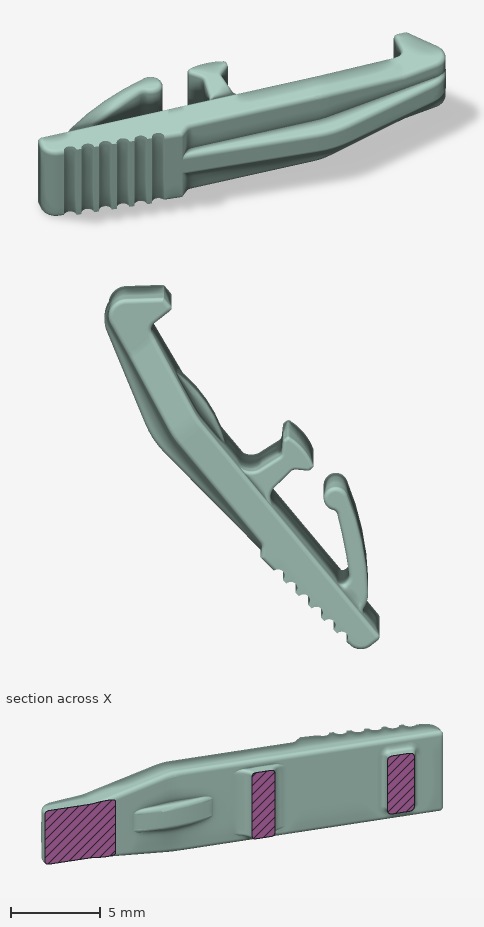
import math

import cadquery as cq

overall_length = 24.09
lever_width = 4.85
plate_thickness = 1.8
edge_radius = 0.25

bend_y = 16.17
arm_lean = math.tan(math.radians(10.4))
bend_radius = 4.9
neck_width = 3.28
neck_y = 21.25
width_bend_radius = 6.0
neck_bend_radius = 2.0

hook_tip_x = -2.76
hook_tip_top_y = 22.62
hook_tip_bottom_y = 21.81
hook_throat_radius = 0.45
hook_tip_radius = 0.2
crown_x = -0.48
crown_radius = 1.0

rib_width = 1.42
rib_crown_radius = 1.62
rib_shoulder = (2.75, 17.48)
rib_knee = (2.97, 15.48)
rib_knee_radius = 5.2

grip_top = (2.32, 7.79)
grip_bottom = (1.62, 0.75)
grip_step_radius = 0.4
end_radius = 0.88
tooth_count = 6
tooth_pitch = 1.0
first_tooth_y = 1.41
tooth_radius = 0.36

stop_y = 11.04
stop_width = 4.04
stop_head_x = -3.4
stop_head_rim_x = -3.2
stop_head_half = 1.14
stop_rim_flat = 0.36
stop_neck_half = 0.52
stop_root_half = 0.66
stop_flare_radius = 0.9
stop_throat_radius = 0.35
stop_rim_radius = 0.14
stop_edge_radius = 0.2

finger_width = 3.55
finger_bead = (-2.95, 7.67)
finger_bead_radius = 0.67
finger_outer_direction = (-0.956, -0.292)
finger_neck_angle = 65.0
finger_neck = (-2.45, 6.92)
finger_heel = (-0.96, 2.34)
finger_armpit = (-0.64, 3.56)
finger_armpit_radius = 0.5
finger_root_low = (0.3, 1.72)
finger_root_radius = 0.33

bump_width = 1.42
bump_top = (-0.44, 18.75)
bump_mid = (-0.64, 16.4)
bump_bottom = (0.0, 13.78)

overlap = 0.6

reach = 10.0
tolerance = 0.01


def prism(outline, width):
    """Extrude a closed XY outline symmetrically about mid-width."""
    return outline.extrude(width / 2, both=True)


def circle_point(center, radius, direction):
    """Point of a circle lying in the given direction from its centre."""
    length = math.hypot(*direction)
    return (
        center[0] + radius * direction[0] / length,
        center[1] + radius * direction[1] / length,
    )


def tangent_point(center, radius, point, side):
    """Where a line from an outside point touches a circle (side is +1 or -1)."""
    dx = point[0] - center[0]
    dy = point[1] - center[1]
    angle = math.atan2(dy, dx) + side * math.acos(radius / math.hypot(dx, dy))
    return circle_point(center, radius, (math.cos(angle), math.sin(angle)))


def arc_midpoint(start, end, start_direction):
    """Middle of the arc that leaves start in the given unit direction and reaches end."""
    dx = end[0] - start[0]
    dy = end[1] - start[1]
    turn = math.atan2(
        dx * start_direction[1] - dy * start_direction[0],
        dx * start_direction[0] + dy * start_direction[1],
    )
    bulge = math.tan(turn / 2) / 2
    return ((start[0] + end[0]) / 2 - bulge * dy, (start[1] + end[1]) / 2 + bulge * dx)


def grip_x(y):
    """X of the sloping grip face at height y."""
    slope = (grip_top[0] - grip_bottom[0]) / (grip_top[1] - grip_bottom[1])
    return grip_bottom[0] + slope * (y - grip_bottom[1])


def vertical_edge(body, x, y):
    """The edge along Z that is nearest to (x, y)."""
    return body.edges("|Z").edges(cq.selectors.NearestToPointSelector((x, y, 0)))


def width_outline():
    """Solid whose YZ outline narrows the lever from full width to the neck."""
    half = lever_width / 2
    neck_half = neck_width / 2
    bottom = -reach
    top = overall_length + reach
    body = (
        cq.Workplane("YZ")
        .polyline([
            (bottom, -half), (bend_y, -half), (neck_y, -neck_half), (top, -neck_half),
            (top, neck_half), (neck_y, neck_half), (bend_y, half), (bottom, half),
        ])
        .close()
        .extrude(reach, both=True)
    )
    for y, radius in ((bend_y, width_bend_radius), (neck_y, neck_bend_radius)):
        bends = cq.selectors.BoxSelector((-reach, y - tolerance, -reach), (reach, y + tolerance, reach))
        body = body.edges("|X").edges(bends).fillet(radius)
    return body


def make_plate():
    """Leaning plate with the hook and the step up to the grip, rounded all around."""
    crown = (crown_x, overall_length - crown_radius)
    hook_tip = (hook_tip_x, hook_tip_top_y)
    crown_start = tangent_point(crown, crown_radius, hook_tip, -1)
    crown_end = circle_point(crown, crown_radius, (1, arm_lean))
    throat = (-(hook_tip_bottom_y - bend_y) * arm_lean, hook_tip_bottom_y)
    step_y = grip_top[1] + grip_top[0] - plate_thickness
    body = prism(
        cq.Workplane("XY")
        .moveTo(0, 0)
        .lineTo(0, bend_y)
        .lineTo(*throat)
        .lineTo(hook_tip_x, hook_tip_bottom_y)
        .lineTo(*hook_tip)
        .lineTo(*crown_start)
        .threePointArc((crown_x, overall_length), crown_end)
        .lineTo(plate_thickness, bend_y)
        .lineTo(plate_thickness, step_y)
        .lineTo(*grip_top)
        .lineTo(grip_x(0), 0)
        .close(),
        lever_width,
    )
    corner_radii = (
        (0, 0, edge_radius),
        (0, bend_y, bend_radius),
        (*throat, hook_throat_radius),
        (hook_tip_x, hook_tip_bottom_y, hook_tip_radius),
        (plate_thickness, bend_y, bend_radius),
        (plate_thickness, step_y, grip_step_radius),
        (grip_x(0), 0, end_radius),
    )
    for x, y, radius in corner_radii:
        body = vertical_edge(body, x, y).fillet(radius)
    body = body.intersect(width_outline())
    return round_rims(body, edge_radius)


def round_rims(body, radius):
    """Round the outline edges, leaving the seams where the width changes."""

    def is_width_seam(edge):
        y = edge.Center().y
        return edge_radius < y < hook_tip_bottom_y - tolerance

    seams = [edge for edge in body.edges("|X").vals() if is_width_seam(edge)]
    skipped = seams + body.edges("|Z").vals()
    rims = [e for e in body.edges().vals() if not any(e.isSame(s) for s in skipped)]
    return body.newObject(rims).fillet(radius)


def make_rib():
    """Narrow rib that stands on the front of the plate from crown to grip."""
    crown = (crown_x, overall_length - rib_crown_radius)
    crown_end = tangent_point(crown, rib_crown_radius, rib_shoulder, 1)
    rise = (crown_end[0] - crown[0], crown_end[1] - crown[1] + rib_crown_radius)
    body = prism(
        cq.Workplane("XY")
        .moveTo(crown_x, overall_length)
        .threePointArc(circle_point(crown, rib_crown_radius, rise), crown_end)
        .lineTo(*rib_shoulder)
        .radiusArc(rib_knee, rib_knee_radius)
        .lineTo(*grip_top)
        .lineTo(grip_x(first_tooth_y), first_tooth_y)
        .lineTo(overlap, first_tooth_y)
        .lineTo(overlap, bend_y)
        .close(),
        rib_width,
    )
    front = cq.selectors.BoxSelector((0, grip_top[1], -reach), (reach, overall_length, reach))
    return body.faces("<Z or >Z").edges(front).fillet(edge_radius)


def make_grip():
    """Square-edged block over the toothed stretch of the lever."""
    last_tooth_y = first_tooth_y + (tooth_count - 1) * tooth_pitch
    return prism(
        cq.Workplane("XY").polyline([
            (overlap, first_tooth_y), (grip_x(first_tooth_y), first_tooth_y),
            (grip_x(last_tooth_y), last_tooth_y), (overlap, last_tooth_y),
        ]).close(),
        lever_width,
    )


def make_tooth_grooves():
    """Row of round grooves that leave the teeth between them."""
    rows = [first_tooth_y + i * tooth_pitch for i in range(tooth_count)]
    points = [(grip_x(y), y) for y in rows]
    return prism(cq.Workplane("XY").pushPoints(points).circle(tooth_radius), reach)


def make_stop():
    """T-shaped stop whose stem flares into the back of the plate."""
    rim_x = stop_head_rim_x + stop_rim_flat
    throat_x = rim_x + stop_head_half - stop_neck_half
    flare_half = stop_root_half + stop_flare_radius
    body = prism(
        cq.Workplane("XY")
        .moveTo(overlap, stop_y - flare_half)
        .lineTo(0, stop_y - flare_half)
        .radiusArc((-stop_flare_radius, stop_y - stop_root_half), -stop_flare_radius)
        .lineTo(throat_x, stop_y - stop_neck_half)
        .lineTo(rim_x, stop_y - stop_head_half)
        .lineTo(stop_head_rim_x, stop_y - stop_head_half)
        .threePointArc((stop_head_x, stop_y), (stop_head_rim_x, stop_y + stop_head_half))
        .lineTo(rim_x, stop_y + stop_head_half)
        .lineTo(throat_x, stop_y + stop_neck_half)
        .lineTo(-stop_flare_radius, stop_y + stop_root_half)
        .radiusArc((0, stop_y + flare_half), -stop_flare_radius)
        .lineTo(overlap, stop_y + flare_half)
        .close(),
        stop_width,
    )
    for side in (-1, 1):
        head_y = stop_y + side * stop_head_half
        body = vertical_edge(body, throat_x, stop_y + side * stop_neck_half).fillet(stop_throat_radius)
        body = vertical_edge(body, rim_x, head_y).fillet(stop_rim_radius)
        body = vertical_edge(body, stop_head_rim_x, head_y).fillet(stop_rim_radius)
    return body.faces("<Z or >Z").edges().fillet(stop_edge_radius)


def make_finger():
    """Curved spring finger with a round bead at its free end."""
    bead_outer = circle_point(finger_bead, finger_bead_radius, finger_outer_direction)
    bead_tip = (finger_bead[0], finger_bead[1] + finger_bead_radius)
    bead_front = (finger_bead[0] + finger_bead_radius, finger_bead[1])

    angle = math.radians(finger_neck_angle)
    normal = (math.sin(angle), math.cos(angle))
    offset = (finger_neck[0] - finger_bead[0], finger_neck[1] - finger_bead[1])
    along_normal = offset[0] * normal[0] + offset[1] * normal[1]
    excess = math.hypot(*offset) ** 2 - finger_bead_radius**2
    neck_radius = excess / (2 * (finger_bead_radius - along_normal))
    to_neck_center = (offset[0] + neck_radius * normal[0], offset[1] + neck_radius * normal[1])
    bead_neck = circle_point(finger_bead, finger_bead_radius, to_neck_center)
    inner_mid = arc_midpoint(finger_neck, finger_armpit, (math.cos(angle), -math.sin(angle)))
    to_bead = (-math.cos(angle), math.sin(angle))

    body = prism(
        cq.Workplane("XY")
        .moveTo(*bead_front)
        .threePointArc(bead_tip, bead_outer)
        .tangentArcPoint(finger_heel, relative=False)
        .tangentArcPoint(finger_root_low, relative=False)
        .lineTo(finger_root_low[0], finger_armpit[1])
        .lineTo(*finger_armpit)
        .threePointArc(inner_mid, finger_neck)
        .threePointArc(arc_midpoint(finger_neck, bead_neck, to_bead), bead_neck)
        .threePointArc(arc_midpoint(bead_front, bead_neck, (0, -1)), bead_front)
        .close(),
        finger_width,
    )
    body = vertical_edge(body, *finger_armpit).fillet(finger_armpit_radius)
    return body.faces("<Z or >Z").edges().fillet(edge_radius)


def make_bump():
    """Thin lens-shaped bump across the bend of the back."""
    body = prism(
        cq.Workplane("XY")
        .moveTo(*bump_top)
        .threePointArc(bump_mid, bump_bottom)
        .lineTo(overlap, bump_bottom[1])
        .lineTo(overlap, bump_top[1])
        .close(),
        bump_width,
    )
    return body.faces("<Z or >Z").edges("<X").fillet(edge_radius)


def blend_finger_root(body):
    """Fillet around the finger where it meets the flat back of the plate."""
    half = finger_width / 2 + tolerance
    root = cq.selectors.BoxSelector(
        (-tolerance, finger_root_low[1], -half),
        (tolerance, finger_armpit[1] + finger_root_radius, half),
    )
    return body.edges(root).fillet(finger_root_radius)


lever = make_plate().union(make_rib()).union(make_grip()).cut(make_tooth_grooves())
lever = blend_finger_root(lever.union(make_finger()))
result = lever.union(make_stop()).union(make_bump())